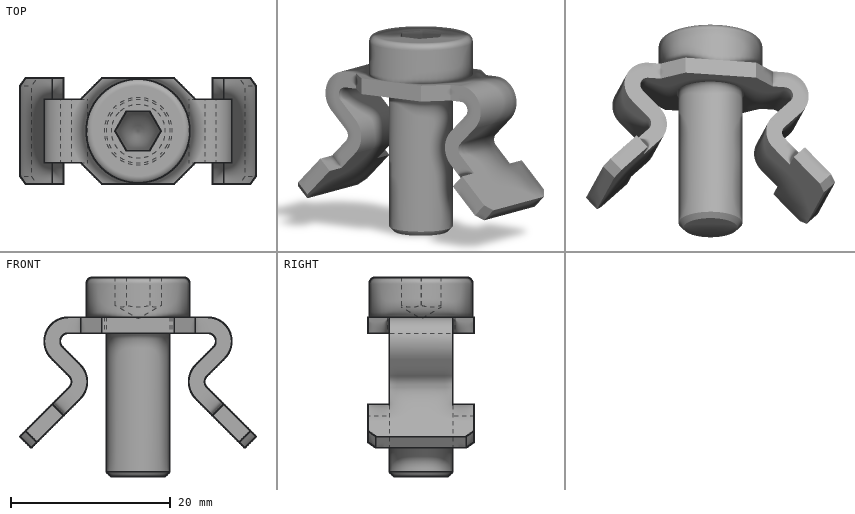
import cadquery as cq
import math


head_diameter = 13.0
head_height = 5.0
head_edge_radius = 0.8
shank_diameter = 8.0
shank_length = 20.0
shank_tip_chamfer = 0.62
hex_across_flats = 5.0
hex_depth = 3.5
hex_tip_angle = 120

overall_length = 29.6
clip_width = 13.3
sheet_thickness = 2.0
strip_width = 8.0
clearance_hole_diameter = 8.5
plate_flat_length = 9.03
upper_bend_x = 8.73
inner_bend_radius = 1.0
outer_bend_radius = inner_bend_radius + sheet_thickness
slant_length = 3.15
leg_neck_length = 2.95
pad_corner_chamfer = 1.0


def make_socket():
    """Hexagonal socket with a conical floor, as a cutting tool."""
    corner_radius = hex_across_flats / math.sqrt(3)
    cone_height = corner_radius / math.tan(math.radians(hex_tip_angle / 2))
    wall_end = head_height - hex_depth
    cone_end = wall_end - cone_height
    hexagon = (
        cq.Workplane("XY", origin=(0, 0, cone_end))
        .polygon(6, 2 * corner_radius)
        .extrude(hex_depth + cone_height)
    )
    pointed_rod = (
        cq.Workplane("XZ")
        .moveTo(0, cone_end)
        .lineTo(corner_radius, wall_end)
        .lineTo(corner_radius, head_height)
        .lineTo(0, head_height)
        .close()
        .revolve(360, (0, 0, 0), (0, 1, 0))
    )
    return hexagon.intersect(pointed_rod)


def make_screw():
    """Cap screw with rounded head, hexagon socket and chamfered tip."""
    head = (
        cq.Workplane("XY")
        .circle(head_diameter / 2)
        .extrude(head_height)
        .faces(">Z")
        .edges()
        .fillet(head_edge_radius)
    )
    shank = (
        cq.Workplane("XY")
        .circle(shank_diameter / 2)
        .extrude(-shank_length)
        .faces("<Z")
        .edges()
        .chamfer(shank_tip_chamfer)
    )
    return head.union(shank).cut(make_socket())


def make_plate():
    """Eight-sided centre plate, with corners cut at 45 degrees down to the strip width."""
    corner_cut = (clip_width - strip_width) / 2
    half_flat = plate_flat_length / 2
    half_length = half_flat + corner_cut
    outline = [
        (half_flat, clip_width / 2),
        (half_length, strip_width / 2),
        (half_length, -strip_width / 2),
        (half_flat, -clip_width / 2),
        (-half_flat, -clip_width / 2),
        (-half_length, -strip_width / 2),
        (-half_length, strip_width / 2),
        (-half_flat, clip_width / 2),
    ]
    return cq.Workplane("XY").polyline(outline).close().extrude(-sheet_thickness)


def polar(center, radius, angle):
    """Point at an angle in degrees on a circle in the XZ plane."""
    turn = math.radians(angle)
    return (center[0] + radius * math.cos(turn), center[1] + radius * math.sin(turn))


def make_left_arm():
    """Strip bent twice, ending in a wide pad that slopes down and outwards at 45 degrees."""
    diagonal = math.sqrt(0.5)
    upper_center = (-upper_bend_x, -outer_bend_radius)
    center_offset = inner_bend_radius + outer_bend_radius
    lower_center = (
        upper_center[0] + (slant_length - center_offset) * diagonal,
        upper_center[1] - (slant_length + center_offset) * diagonal,
    )

    leg_start = polar(lower_center, inner_bend_radius, -45)
    leg_length = (leg_start[0] + overall_length / 2) / diagonal
    neck_end = (leg_start[0] - leg_neck_length * diagonal, leg_start[1] - leg_neck_length * diagonal)

    neck_end_below = (neck_end[0] + sheet_thickness * diagonal, neck_end[1] - sheet_thickness * diagonal)
    strip = (
        cq.Workplane("XZ")
        .moveTo(0, 0)
        .lineTo(*polar(upper_center, outer_bend_radius, 90))
        .threePointArc(
            polar(upper_center, outer_bend_radius, 180), polar(upper_center, outer_bend_radius, 225)
        )
        .lineTo(*polar(lower_center, inner_bend_radius, 45))
        .threePointArc(polar(lower_center, inner_bend_radius, 0), leg_start)
        .lineTo(*neck_end)
        .lineTo(*neck_end_below)
        .lineTo(*polar(lower_center, outer_bend_radius, -45))
        .threePointArc(
            polar(lower_center, outer_bend_radius, 0), polar(lower_center, outer_bend_radius, 45)
        )
        .lineTo(*polar(upper_center, inner_bend_radius, 225))
        .threePointArc(
            polar(upper_center, inner_bend_radius, 180), polar(upper_center, inner_bend_radius, 90)
        )
        .lineTo(0, -sheet_thickness)
        .close()
        .extrude(strip_width / 2, both=True)
    )

    pad_plane = cq.Plane(origin=(neck_end[0], 0, neck_end[1]), xDir=(-1, 0, -1), normal=(-1, 0, 1))
    pad_length = leg_length - leg_neck_length
    half_width = clip_width / 2
    pad_outline = [
        (0, half_width),
        (pad_length - pad_corner_chamfer, half_width),
        (pad_length, half_width - pad_corner_chamfer),
        (pad_length, pad_corner_chamfer - half_width),
        (pad_length - pad_corner_chamfer, -half_width),
        (0, -half_width),
    ]
    pad = cq.Workplane(pad_plane).polyline(pad_outline).close().extrude(-sheet_thickness)
    return strip.union(pad)


def make_clip():
    """Plate with two mirrored arms and a clearance hole for the screw."""
    left_arm = make_left_arm()
    right_arm = left_arm.mirror("YZ")
    hole = cq.Workplane("XY").circle(clearance_hole_diameter / 2).extrude(-sheet_thickness)
    return make_plate().union(left_arm).union(right_arm).cut(hole)


screw = make_screw()
clip = make_clip()

result = cq.Compound.makeCompound([screw.val(), clip.val()])